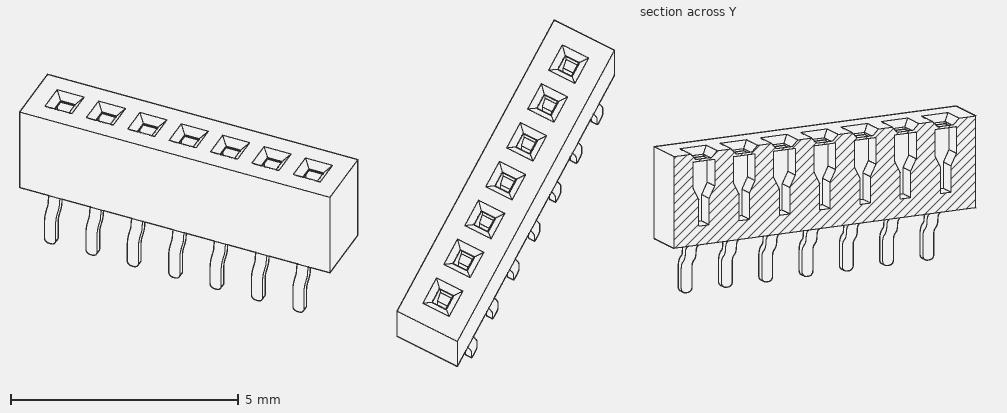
import cadquery as cq
import math

body_length = 7.5
body_width = 1.5
body_height = 2.1

contact_count = 7
end_distance = 0.75
pitch = (body_length - 2 * end_distance) / (contact_count - 1)

funnel_top = 0.65
throat_size = 0.35
funnel_depth = (funnel_top - throat_size) / 2
throat_depth = 0.045
cavity_length = 0.525
cavity_front_inset = 0.02
cavity_back_undercut = 0.02
cavity_depth = 0.6
contact_gap = 0.25
lead_in_angle = 62.5
contact_gap_depth = 0.6

pin_width = 0.27
pin_thickness = 0.15
pin_overhang = 0.03
pin_drop = 1.3
tip_radius = 0.11
wide_bend = 0.27
tight_bend = 0.195
foot_top = -0.72
lower_bend_angle = 47.0
lower_slope_height = 0.045
upper_bend_angle = 60.0


def socket_cutter():
    """Void of one socket, centred on X = Y = 0."""
    throat_top = body_height - funnel_depth
    cavity_top = throat_top - throat_depth
    lead_in_top = cavity_top - cavity_depth
    lead_in_depth = (cavity_length - contact_gap) / 2 * math.tan(math.radians(lead_in_angle))
    gap_top = lead_in_top - lead_in_depth
    gap_bottom = gap_top - contact_gap_depth

    funnel = (
        cq.Workplane("XY", origin=(0, 0, body_height))
        .rect(funnel_top, funnel_top)
        .workplane(offset=-funnel_depth)
        .rect(throat_size, throat_size)
        .loft(ruled=True)
    )
    throat = (
        cq.Workplane("XY", origin=(0, 0, cavity_top))
        .rect(throat_size, throat_size)
        .extrude(throat_depth)
    )
    back_wall = throat_size / 2 + cavity_back_undercut
    lower_void = (
        cq.Workplane("XZ", origin=(0, back_wall, 0))
        .moveTo(-cavity_length / 2, cavity_top)
        .lineTo(cavity_length / 2, cavity_top)
        .lineTo(cavity_length / 2, lead_in_top)
        .lineTo(contact_gap / 2, gap_top)
        .lineTo(contact_gap / 2, gap_bottom)
        .lineTo(-contact_gap / 2, gap_bottom)
        .lineTo(-contact_gap / 2, gap_top)
        .lineTo(-cavity_length / 2, lead_in_top)
        .close()
        .extrude(throat_size + cavity_back_undercut - cavity_front_inset)
    )
    return funnel.union(throat).union(lower_void)


def bend_up(start, radius, angle, leaning):
    """Mid and end points of a bend on the (Y, Z) strip centreline, going upwards.

    Leaning bends turn from vertical towards +Y; the others turn back to vertical.
    """
    def point(turned):
        if leaning:
            across = radius * (1 - math.cos(turned))
            rise = radius * math.sin(turned)
        else:
            across = radius * (math.cos(angle - turned) - math.cos(angle))
            rise = radius * (math.sin(angle) - math.sin(angle - turned))
        return (start[0] + across, start[1] + rise)

    return point(angle / 2), point(angle)


def bent_pin():
    """One pin, centred on X = 0, with its top end buried in the housing."""
    lower_angle = math.radians(lower_bend_angle)
    upper_angle = math.radians(upper_bend_angle)
    foot_y = -body_width / 2 - pin_overhang + pin_thickness / 2
    foot_end = (foot_y, foot_top)

    mid_1, end_1 = bend_up(foot_end, wide_bend, lower_angle, True)
    slope_end = (end_1[0] + lower_slope_height * math.tan(lower_angle), end_1[1] + lower_slope_height)
    mid_2, end_2 = bend_up(slope_end, tight_bend, lower_angle, False)
    mid_3, end_3 = bend_up(end_2, wide_bend, upper_angle, True)
    mid_4, end_4 = bend_up(end_3, wide_bend, upper_angle, False)

    path = (
        cq.Workplane("YZ")
        .moveTo(*foot_end)
        .threePointArc(mid_1, end_1)
        .lineTo(*slope_end)
        .threePointArc(mid_2, end_2)
        .threePointArc(mid_3, end_3)
        .threePointArc(mid_4, end_4)
    )
    bends = (
        cq.Workplane("XY", origin=(0, foot_y, foot_top))
        .rect(pin_width, pin_thickness)
        .sweep(path)
    )
    foot = (
        cq.Workplane("XY", origin=(0, foot_y, -pin_drop))
        .rect(pin_width, pin_thickness)
        .extrude(pin_drop + foot_top)
        .faces("<Z")
        .edges("|Y")
        .fillet(tip_radius)
    )
    return foot.union(bends)


result = cq.Workplane("XY").box(
    body_length, body_width, body_height, centered=(True, True, False)
)
socket = socket_cutter()
pin = bent_pin()
for index in range(contact_count):
    x = -body_length / 2 + end_distance + index * pitch
    result = result.cut(socket.translate((x, 0, 0)))
    result = result.union(pin.translate((x, 0, 0)))